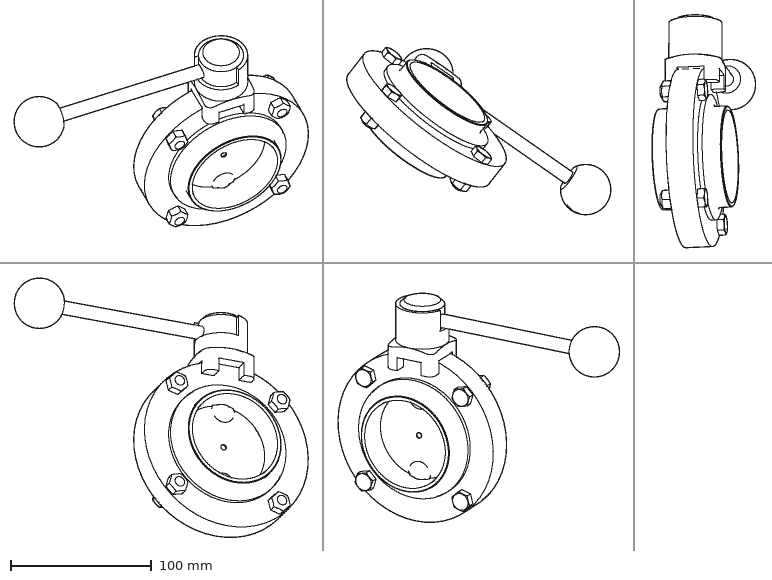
import cadquery as cq
import math


face_to_face = 50.0
bore_diameter = 66.0
pipe_diameter = 72.0
pipe_end_chamfer = 0.5
flange_diameter = 127.0
flange_width = 19.4
raised_face_diameter = 89.5
raised_face_width = 26.0
neck_fillet = 4.0
flange_flat_height = 62.2

bolt_circle_diameter = 112.0
bolt_angles = [45, 135, 225, 315]
hex_across_flats = 13.0
hex_face_diameter = 12.6
hex_chamfer_angle = 30
hex_turn = 30
bolt_head_height = 5.3
nut_height = 6.5
nut_crown_diameter = 7.32
nut_crown_height = 1.6

disc_face_diameter = 61.0
disc_face_half_width = 4.0
disc_centre_half_width = 5.0
centre_hole_diameter = 4.13
centre_hole_depth = 1.0
stem_diameter = 12.0
hub_ball_diameter = 16.2
hub_ball_height = 27.4
hub_blend_radius = 4.0
lower_stem_length = 12.0
stem_drive_depth = 10.0

bracket_width = 38.2
bracket_corner_radius = 5.0
bracket_bottom = 52.3
bracket_top = 71.4
bracket_slope = 20
notch_width = flange_width
sleeve_diameter = 38.0
sleeve_top = 99.0
lever_slot_width = 11.4

hub_diameter = 32.0
hub_bottom = 69.5
hub_top = 101.8
hub_top_diameter = 26.0
rod_diameter = 9.8
rod_height = 88.9
ball_diameter = 36.0
ball_flat_diameter = 20.0
lever_reach = 158.6

bore_radius = bore_diameter / 2
stem_top = hub_bottom + stem_drive_depth
stem_bottom = bore_radius + lower_stem_length


def make_disc_hub():
    """Ball around the stem, flared out to the disc faces by a concave blend, centred on the origin."""
    ball_radius = hub_ball_diameter / 2
    blend_centre_x = disc_face_half_width + hub_blend_radius
    foot_radius = math.sqrt((ball_radius + hub_blend_radius) ** 2 - blend_centre_x**2)
    blend_angle = math.atan2(foot_radius, blend_centre_x)
    middle_angle = blend_angle / 2
    half_profile = (
        cq.Workplane("XY")
        .moveTo(0, 0)
        .lineTo(ball_radius, 0)
        .threePointArc(
            (ball_radius * math.cos(middle_angle), ball_radius * math.sin(middle_angle)),
            (ball_radius * math.cos(blend_angle), ball_radius * math.sin(blend_angle)),
        )
        .threePointArc(
            (
                blend_centre_x - hub_blend_radius * math.cos(middle_angle),
                foot_radius - hub_blend_radius * math.sin(middle_angle),
            ),
            (disc_face_half_width, foot_radius),
        )
        .lineTo(0, foot_radius)
        .close()
    )
    half_hub = half_profile.revolve(360, (0, 0, 0), (1, 0, 0))
    return half_hub.union(half_hub.mirror("YZ"))


def make_disc():
    """Shallow double-cone disc with a rounded rim, ball hubs and both stem journals."""
    face_radius = disc_face_diameter / 2
    rim_radius = bore_radius - face_radius
    rim_half_width = disc_face_half_width - rim_radius
    rim_middle = rim_radius * math.sqrt(0.5)
    disc = (
        cq.Workplane("XY")
        .moveTo(-disc_centre_half_width, 0)
        .lineTo(-disc_face_half_width, face_radius)
        .threePointArc((-rim_half_width - rim_middle, face_radius + rim_middle), (-rim_half_width, bore_radius))
        .lineTo(rim_half_width, bore_radius)
        .threePointArc((rim_half_width + rim_middle, face_radius + rim_middle), (disc_face_half_width, face_radius))
        .lineTo(disc_centre_half_width, 0)
        .close()
        .revolve(360, (0, 0, 0), (1, 0, 0))
    )
    bore_plug = cq.Workplane("YZ").circle(bore_radius).extrude(bore_radius, both=True)
    for height in (hub_ball_height, -hub_ball_height):
        hub = make_disc_hub().translate((0, 0, height))
        disc = disc.union(hub.intersect(bore_plug))

    upper_journal = (
        cq.Workplane("XY")
        .workplane(offset=hub_ball_height)
        .circle(stem_diameter / 2)
        .extrude(stem_top - hub_ball_height)
    )
    lower_journal = (
        cq.Workplane("XY")
        .workplane(offset=-stem_bottom)
        .circle(stem_diameter / 2)
        .extrude(stem_bottom - hub_ball_height)
    )
    disc = disc.union(upper_journal).union(lower_journal)

    for side in (-1, 1):
        hole = (
            cq.Workplane("YZ")
            .workplane(offset=side * disc_centre_half_width)
            .circle(centre_hole_diameter / 2)
            .extrude(-side * centre_hole_depth)
        )
        disc = disc.cut(hole)
    return disc


def chamfered_hex(start, height):
    """Hexagon prism along X whose corners are chamfered on the end away from the flange."""
    corner_radius = hex_across_flats / math.sqrt(3)
    face_radius = hex_face_diameter / 2
    drop = (corner_radius - face_radius) * math.tan(math.radians(hex_chamfer_angle))
    end = start + height
    shoulder = end - math.copysign(drop, height)
    prism = cq.Workplane("YZ").workplane(offset=start).polygon(6, 2 * corner_radius).extrude(height)
    prism = prism.rotate((0, 0, 0), (1, 0, 0), hex_turn)
    envelope = (
        cq.Workplane("XY")
        .polyline([(start, 0), (start, corner_radius), (shoulder, corner_radius), (end, face_radius), (end, 0)])
        .close()
        .revolve(360, (0, 0, 0), (1, 0, 0))
    )
    return prism.intersect(envelope)


def make_bolt():
    """Bolt head on the -X side and crowned nut on the +X side, axis on X."""
    half_flange = flange_width / 2
    nut_end = half_flange + nut_height
    head = chamfered_hex(-half_flange, -bolt_head_height)
    nut = chamfered_hex(half_flange, nut_height)
    crown = (
        cq.Workplane("XY")
        .moveTo(nut_end, 0)
        .lineTo(nut_end, hex_face_diameter / 2)
        .lineTo(nut_end + nut_crown_height, nut_crown_diameter / 2)
        .lineTo(nut_end + nut_crown_height, 0)
        .close()
        .revolve(360, (0, 0, 0), (1, 0, 0))
    )
    return head, nut.union(crown)


def make_body():
    """Flange with a pipe stub each side, bored for the pipe and the stem, with its bolts."""
    half_length = face_to_face / 2
    half_raised = raised_face_width / 2
    half_flange = flange_width / 2
    pipe_radius = pipe_diameter / 2
    fillet_middle = neck_fillet * (1 - math.sqrt(0.5))
    half_profile = (
        cq.Workplane("XY")
        .moveTo(0, bore_radius)
        .lineTo(half_length, bore_radius)
        .lineTo(half_length, pipe_radius - pipe_end_chamfer)
        .lineTo(half_length - pipe_end_chamfer, pipe_radius)
        .lineTo(half_raised + neck_fillet, pipe_radius)
        .threePointArc(
            (half_raised + fillet_middle, pipe_radius + fillet_middle),
            (half_raised, pipe_radius + neck_fillet),
        )
        .lineTo(half_raised, raised_face_diameter / 2)
        .lineTo(half_flange, raised_face_diameter / 2)
        .lineTo(half_flange, flange_diameter / 2)
        .lineTo(0, flange_diameter / 2)
        .close()
    )
    half_body = half_profile.revolve(360, (0, 0, 0), (1, 0, 0))
    body = half_body.union(half_body.mirror("YZ"))
    above_flat = (
        cq.Workplane("XY")
        .workplane(offset=flange_flat_height)
        .rect(flange_width, flange_diameter)
        .extrude(flange_diameter)
    )
    stem_hole = (
        cq.Workplane("XY")
        .workplane(offset=-stem_bottom)
        .circle(stem_diameter / 2)
        .extrude(stem_bottom + flange_diameter)
    )
    body = body.cut(above_flat).cut(stem_hole)
    for angle in bolt_angles:
        for piece in make_bolt():
            placed = piece.translate((0, bolt_circle_diameter / 2, 0))
            body = body.union(placed.rotate((0, 0, 0), (1, 0, 0), angle))
    return body


def make_bracket():
    """Four-legged square base straddling the flange, with a slotted sleeve on top."""
    sleeve_radius = sleeve_diameter / 2
    corner_reach = bracket_width / math.sqrt(2)
    slope_drop = (corner_reach - sleeve_radius) * math.tan(math.radians(bracket_slope))
    base = (
        cq.Workplane("XY")
        .workplane(offset=bracket_bottom)
        .rect(bracket_width, bracket_width)
        .extrude(bracket_top - bracket_bottom)
        .edges("|Z")
        .fillet(bracket_corner_radius)
    )
    envelope = (
        cq.Workplane("XZ")
        .moveTo(0, bracket_bottom)
        .lineTo(corner_reach, bracket_bottom)
        .lineTo(corner_reach, bracket_top - slope_drop)
        .lineTo(sleeve_radius, bracket_top)
        .lineTo(0, bracket_top)
        .close()
        .revolve(360, (0, 0, 0), (0, 1, 0))
    )
    sleeve = (
        cq.Workplane("XY")
        .workplane(offset=bracket_top)
        .circle(sleeve_radius)
        .extrude(sleeve_top - bracket_top)
    )
    bracket = base.intersect(envelope).union(sleeve)

    notch_depth = flange_flat_height - bracket_bottom
    for size in ((notch_width, bracket_width), (bracket_width, notch_width)):
        notch = cq.Workplane("XY").workplane(offset=bracket_bottom).rect(*size).extrude(notch_depth)
        bracket = bracket.cut(notch)

    hub_bore = (
        cq.Workplane("XY")
        .workplane(offset=hub_bottom)
        .circle(hub_diameter / 2)
        .extrude(sleeve_top - hub_bottom)
    )
    stem_hole = (
        cq.Workplane("XY")
        .workplane(offset=bracket_bottom)
        .circle(stem_diameter / 2)
        .extrude(hub_bottom - bracket_bottom)
    )
    half_slot = lever_slot_width / 2
    slot_floor = rod_height - half_slot
    window = (
        cq.Workplane("XY")
        .box(bracket_width, bracket_width, sleeve_top - slot_floor, centered=False)
        .translate((-half_slot, half_slot - bracket_width, slot_floor))
    )
    return bracket.cut(hub_bore).cut(stem_hole).cut(window)


def make_lever():
    """Chamfered hub, round rod and flattened ball knob."""
    hub = (
        cq.Workplane("XY")
        .workplane(offset=hub_bottom)
        .circle(hub_diameter / 2)
        .extrude(hub_top - hub_bottom)
        .faces(">Z")
        .chamfer((hub_diameter - hub_top_diameter) / 2)
    )
    ball_radius = ball_diameter / 2
    ball_centre = lever_reach - ball_radius
    flat_offset = math.sqrt(ball_radius**2 - (ball_flat_diameter / 2) ** 2)
    rod = (
        cq.Workplane("XZ")
        .center(0, rod_height)
        .circle(rod_diameter / 2)
        .extrude(ball_centre)
    )
    ball = cq.Workplane("XY").sphere(ball_radius).translate((0, -ball_centre, rod_height))
    beyond_flat = (
        cq.Workplane("XZ")
        .workplane(offset=ball_centre - flat_offset)
        .center(0, rod_height)
        .rect(ball_diameter, ball_diameter)
        .extrude(-ball_diameter)
    )
    stem_socket = (
        cq.Workplane("XY")
        .workplane(offset=hub_bottom)
        .circle(stem_diameter / 2)
        .extrude(stem_drive_depth)
    )
    return hub.union(rod).union(ball.cut(beyond_flat)).cut(stem_socket)


body = make_body()
disc = make_disc()
bracket = make_bracket()
lever = make_lever()

result = cq.Compound.makeCompound([body.val(), disc.val(), bracket.val(), lever.val()])